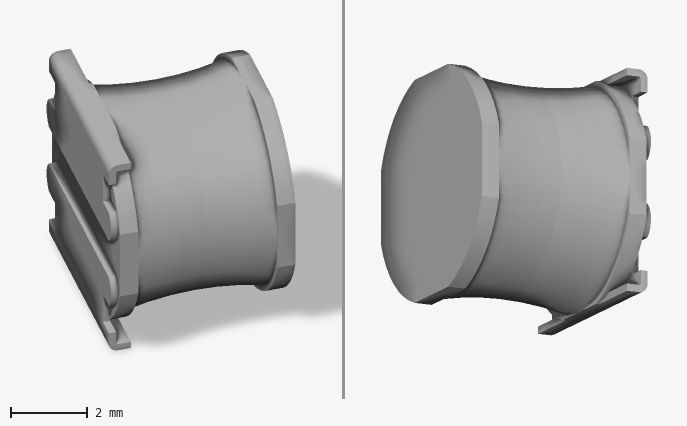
import cadquery as cq
import math

across_flats = 6.0
half_flats = across_flats / 2
total_depth = 5.0
front_y = -total_depth / 2
back_y = total_depth / 2

flat_length = 2.0
flange_radius = math.hypot(half_flats, flat_length / 2)
flange_thickness = 0.5

strip_thickness = 0.2
bend_outer_radius = 0.25
bend_inner_radius = bend_outer_radius - strip_thickness
hook_depth = 0.6
bar_half_width = 2.645
bar_inner_z = 2.4
neck_half_width = 2.11
pad_outer_z = 1.5
pad_inner_z = 0.595
pad_end_bulge = 0.205

waist_radius = 2.8
front_flange_y = front_y + strip_thickness
winding_front_y = front_flange_y + flange_thickness
winding_back_y = back_y - flange_thickness


def make_flange(start_y):
    """Disc cut square on four sides, extending towards +Y from start_y."""
    disc = cq.Workplane("XZ", origin=(0, start_y, 0)).circle(flange_radius).extrude(-flange_thickness)
    square = (
        cq.Workplane("XZ", origin=(0, start_y, 0))
        .rect(across_flats, across_flats)
        .extrude(-flange_thickness)
    )
    return disc.intersect(square)


def make_winding():
    """Solid of revolution whose two concave halves meet tangentially at the waist."""
    half_length = (winding_back_y - winding_front_y) / 2
    waist_y = (winding_back_y + winding_front_y) / 2
    waist_depth = half_flats - waist_radius
    arc_radius = (half_length**2 + waist_depth**2) / (2 * waist_depth)
    mid_offset = half_length / 2
    mid_radius = waist_radius + arc_radius - math.sqrt(arc_radius**2 - mid_offset**2)
    return (
        cq.Workplane("YZ")
        .moveTo(winding_front_y, 0)
        .lineTo(winding_back_y, 0)
        .lineTo(winding_back_y, half_flats)
        .threePointArc((waist_y + mid_offset, mid_radius), (waist_y, waist_radius))
        .threePointArc((waist_y - mid_offset, mid_radius), (winding_front_y, half_flats))
        .close()
        .revolve(360, (0, 0, 0), (1, 0, 0), clean=False)
    )


def make_bent_strip():
    """L-shaped strip: a plate on the flange face, bent back over the upper flat."""
    hook_back_y = front_y + hook_depth
    hook_under_z = half_flats - strip_thickness
    half_width = bar_half_width + pad_end_bulge
    return (
        cq.Workplane("YZ")
        .moveTo(front_y, pad_inner_z)
        .lineTo(front_y, half_flats - bend_outer_radius)
        .radiusArc((front_y + bend_outer_radius, half_flats), bend_outer_radius)
        .lineTo(hook_back_y, half_flats)
        .lineTo(hook_back_y, hook_under_z)
        .lineTo(front_flange_y + bend_inner_radius, hook_under_z)
        .radiusArc((front_flange_y, hook_under_z - bend_inner_radius), -bend_inner_radius)
        .lineTo(front_flange_y, pad_inner_z)
        .close()
        .extrude(half_width, both=True)
    )


def make_terminal():
    """Upper terminal: round-ended pad, narrower neck and a hooked bar."""
    pad_mid_z = (pad_inner_z + pad_outer_z) / 2
    pad_tip_x = bar_half_width + pad_end_bulge
    outline = (
        cq.Workplane("XZ", origin=(0, front_y, 0))
        .moveTo(-bar_half_width, pad_inner_z)
        .lineTo(bar_half_width, pad_inner_z)
        .threePointArc((pad_tip_x, pad_mid_z), (bar_half_width, pad_outer_z))
        .lineTo(neck_half_width, pad_outer_z)
        .lineTo(neck_half_width, bar_inner_z)
        .lineTo(bar_half_width, bar_inner_z)
        .lineTo(bar_half_width, half_flats)
        .lineTo(-bar_half_width, half_flats)
        .lineTo(-bar_half_width, bar_inner_z)
        .lineTo(-neck_half_width, bar_inner_z)
        .lineTo(-neck_half_width, pad_outer_z)
        .lineTo(-bar_half_width, pad_outer_z)
        .threePointArc((-pad_tip_x, pad_mid_z), (-bar_half_width, pad_inner_z))
        .close()
        .extrude(-hook_depth)
    )
    return make_bent_strip().intersect(outline)


def make_hook_recess():
    """Space to clear from the upper flat: everything in front of and above the hook's inner faces."""
    hook_under_z = half_flats - strip_thickness
    inner_bend_z = hook_under_z - bend_inner_radius
    return (
        cq.Workplane("YZ")
        .moveTo(front_flange_y, inner_bend_z)
        .radiusArc((front_flange_y + bend_inner_radius, hook_under_z), bend_inner_radius)
        .lineTo(front_y + hook_depth, hook_under_z)
        .lineTo(front_y + hook_depth, half_flats)
        .lineTo(front_flange_y, half_flats)
        .close()
        .extrude(bar_half_width, both=True)
    )


terminals = []
front_flange = make_flange(front_flange_y)
for turn in (0, 180):
    terminals.append(make_terminal().rotate((0, 0, 0), (0, 1, 0), turn))
    front_flange = front_flange.cut(make_hook_recess().rotate((0, 0, 0), (0, 1, 0), turn))

winding = make_winding()
back_flange = make_flange(winding_back_y)

result = cq.Compound.makeCompound(
    [front_flange.val(), back_flange.val(), winding.val()] + [terminal.val() for terminal in terminals]
)